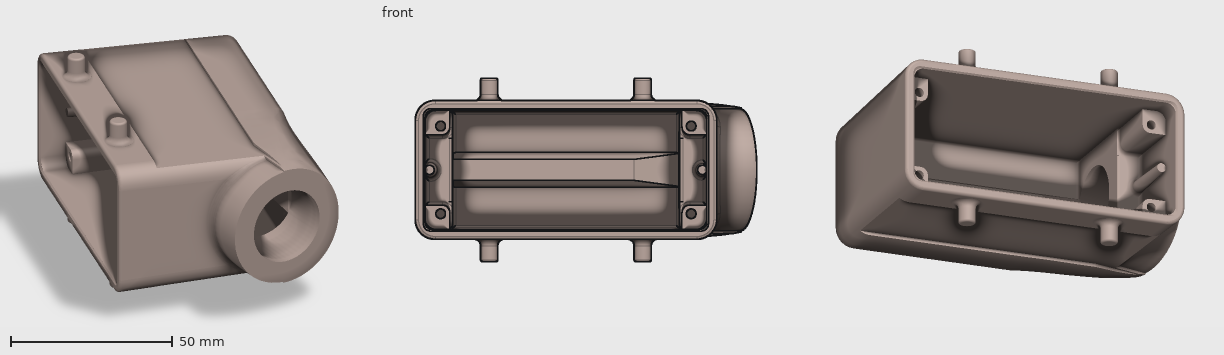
import cadquery as cq
import math


MOUTH_LENGTH = 93.6
MOUTH_WIDTH = 43.2
ROOF_HEIGHT = 63.0
DRAFT = 1.0
CORNER_RADIUS = 6.2
ROOF_EDGE_RADIUS = 3.5
RIM_RADIUS = 1.0

ENTRY_ANGLE = 15.9
ENTRY_RADIUS = 18.93
ENTRY_CENTRE_X = 54.06
ENTRY_CENTRE_Y = 51.92
ENTRY_LENGTH = 26.0
BORE_RADIUS = 12.0
HUMP_START_X = 12.9
HUMP_OVERLAP = 1.0
HUMP_SIDE_EXCESS = 0.3
CORNER_GROWTH = 1.15
ENTRY_FILLET = 2.0

PANEL_BOTTOM = 12.9
PANEL_TOP = 46.5
PANEL_DEPTH = 1.0
PANEL_SLOPE_X = 35.7

PIN_X = 23.8
PIN_Y = 6.2
PIN_RADIUS = 2.7
PIN_TIP_Z = 28.5
PIN_TIP_ROUND = 0.7
PIN_FOOT_RADIUS = 2.0

MOUTH_WALL_X = 3.05
MOUTH_WALL_Z = 3.1
CAVITY_DRAFT = 0.5
CAVITY_CORNER_RADIUS = 3.2
MOUTH_CHAMFER = 0.5
LEDGE_HEIGHT = 28.0
LEDGE_EDGE_RADIUS = 1.0
DEEP_HALF_LENGTH = 35.5
CAVITY_HEIGHT = 58.5
CAVITY_ROOF_RADIUS = 0.8

POST_FACE_Y = 8.5
POST_INNER_X = 36.0
POST_INNER_Z = 10.9
POST_CORNER_RADIUS = 2.4
POCKET_FILLET = 1.1
SCREW_X = 38.85
SCREW_Z = 13.6
SCREW_RADIUS = 1.5
SCREW_DEPTH = 12.0
KEY_X = 42.3
KEY_TIP_RADIUS = 1.45
KEY_BASE_RADIUS_LEFT = 2.5
KEY_BASE_RADIUS_RIGHT = 2.1

RIB_BASE_HALF = 5.4
RIB_TOP_HALF = 3.25
RIB_HEIGHT = 4.6
RIB_RAMP_X = 21.1

CUT_MARGIN = 10.0

sin_entry = math.sin(math.radians(ENTRY_ANGLE))
cos_entry = math.cos(math.radians(ENTRY_ANGLE))
tan_entry = math.tan(math.radians(ENTRY_ANGLE))
tan_draft = math.tan(math.radians(DRAFT))

ENTRY_TOP_X = ENTRY_CENTRE_X - ENTRY_RADIUS * sin_entry
ENTRY_TOP_Y = ENTRY_CENTRE_Y + ENTRY_RADIUS * cos_entry
BEND_X = ENTRY_TOP_X - (ENTRY_TOP_Y - ROOF_HEIGHT) / tan_entry
HUMP_ARC_RADIUS = (BEND_X - HUMP_START_X) / math.tan(math.radians(ENTRY_ANGLE / 2))


def plane_across_y(y):
    """Plane at height y whose normal points from the mouth to the roof."""
    return cq.Plane(origin=(0, y, 0), xDir=(1, 0, 0), normal=(0, 1, 0))


def both_sides(shape):
    """The shape together with its mirror image across Z = 0."""
    return shape.union(shape.mirror("XY"))


def hump_top_point(angle):
    """Point of the hump's top arc where it is inclined by the angle, in degrees."""
    a = math.radians(angle)
    return (
        HUMP_START_X + HUMP_ARC_RADIUS * math.sin(a),
        ROOF_HEIGHT + HUMP_ARC_RADIUS * (1 - math.cos(a)),
    )


def outer_shell():
    """Solid drafted block with rounded corners, roof edge and mouth rim."""
    shell = cq.Workplane(plane_across_y(0)).rect(MOUTH_LENGTH, MOUTH_WIDTH)
    shell = shell.extrude(ROOF_HEIGHT, taper=DRAFT)
    shell = shell.edges("not(|X or |Z)").fillet(CORNER_RADIUS)
    shell = shell.faces(">Y").edges().fillet(ROOF_EDGE_RADIUS)
    return shell.faces("<Y").edges().fillet(RIM_RADIUS)


def hump_room():
    """The part of the shell above the hump's lower surface, which the hump replaces."""
    depth = ENTRY_RADIUS - HUMP_OVERLAP
    radius = HUMP_ARC_RADIUS + depth

    def lower_point(angle):
        a = math.radians(angle)
        return (
            HUMP_START_X + radius * math.sin(a),
            ROOF_HEIGHT + HUMP_ARC_RADIUS - radius * math.cos(a),
        )

    end_x, end_y = lower_point(ENTRY_ANGLE)
    far_x = ENTRY_CENTRE_X + CUT_MARGIN
    far_y = end_y + (far_x - end_x) * tan_entry
    high_y = ROOF_HEIGHT + CUT_MARGIN
    return (
        cq.Workplane("XY")
        .moveTo(*lower_point(0))
        .threePointArc(lower_point(ENTRY_ANGLE / 2), (end_x, end_y))
        .lineTo(far_x, far_y)
        .lineTo(far_x, high_y)
        .lineTo(HUMP_START_X, high_y)
        .close()
        .extrude(MOUTH_WIDTH / 2 + CUT_MARGIN, both=True)
    )


def hump_section(top, angle, half_width, radius):
    """Cross-section hanging from a point of the hump's top line, with two rounded top corners."""
    a = math.radians(angle)
    plane = cq.Plane(
        origin=(top[0], top[1], 0),
        xDir=(0, 0, -1),
        normal=(math.cos(a), math.sin(a), 0),
    )
    flat = half_width - radius
    diagonal = radius * math.sqrt(0.5)
    foot = -ENTRY_RADIUS - HUMP_OVERLAP
    side_top = -radius
    foot_half = half_width + (side_top - foot) * tan_draft
    section = (
        cq.Workplane(plane)
        .moveTo(-foot_half, foot)
        .lineTo(-half_width, side_top)
        .threePointArc((-flat - diagonal, -radius + diagonal), (-flat, 0))
        .lineTo(flat, 0)
        .threePointArc((flat + diagonal, -radius + diagonal), (half_width, side_top))
        .lineTo(foot_half, foot)
        .close()
    )
    return section.val()


def hump():
    """Loft from the rounded roof section to the round entry; its top corners grow along the way."""
    arc_length = HUMP_ARC_RADIUS * math.radians(ENTRY_ANGLE)
    arc_end = hump_top_point(ENTRY_ANGLE)
    straight = math.dist(arc_end, (ENTRY_TOP_X, ENTRY_TOP_Y))
    stations = [
        (hump_top_point(0), 0, 0),
        (hump_top_point(ENTRY_ANGLE / 2), ENTRY_ANGLE / 2, arc_length / 2),
        (arc_end, ENTRY_ANGLE, arc_length),
        ((ENTRY_TOP_X, ENTRY_TOP_Y), ENTRY_ANGLE, arc_length + straight),
    ]
    sections = []
    for top, angle, travelled in stations:
        share = travelled / (arc_length + straight)
        radius = ROOF_EDGE_RADIUS + (ENTRY_RADIUS - ROOF_EDGE_RADIUS) * share**CORNER_GROWTH
        flush_half = MOUTH_WIDTH / 2 - (top[1] - radius) * tan_draft
        half_width = flush_half if travelled <= arc_length else ENTRY_RADIUS + HUMP_SIDE_EXCESS
        sections.append(hump_section(top, angle, half_width, radius))
    return cq.Workplane(cq.Solid.makeLoft(sections))


def entry_cylinder(radius, length):
    """Cylinder on the entry axis, running inwards from the end face."""
    plane = cq.Plane(
        origin=(ENTRY_CENTRE_X, ENTRY_CENTRE_Y, 0),
        xDir=(0, 0, 1),
        normal=(-cos_entry, -sin_entry, 0),
    )
    return cq.Workplane(plane).circle(radius).extrude(length)


def filleted_entry(body):
    """The body with the round entry added and its meeting line with the end wall filleted."""
    body = body.union(entry_cylinder(ENTRY_RADIUS, ENTRY_LENGTH))
    wall_x = MOUTH_LENGTH / 2
    lowest_y = ENTRY_CENTRE_Y - ENTRY_RADIUS * cos_entry - ENTRY_LENGTH * sin_entry
    highest_y = ENTRY_CENTRE_Y - ENTRY_RADIUS * cos_entry / 2
    meeting_line = cq.selectors.BoxSelector(
        (wall_x - CORNER_RADIUS / 2, lowest_y, -ENTRY_RADIUS),
        (wall_x + CORNER_RADIUS / 2, highest_y, ENTRY_RADIUS),
    )
    return body.edges(meeting_line).fillet(ENTRY_FILLET)


def side_panels():
    """Cutters for the two recessed panels, parallel to the drafted sides."""
    plane = cq.Plane(
        origin=(0, 0, MOUTH_WIDTH / 2 - PANEL_DEPTH),
        xDir=(1, 0, 0),
        normal=(0, tan_draft, 1),
    )
    near_x = -MOUTH_LENGTH / 2 - CUT_MARGIN
    far_x = ENTRY_CENTRE_X + CUT_MARGIN
    outline = [
        (near_x, PANEL_BOTTOM),
        (far_x, PANEL_BOTTOM),
        (far_x, PANEL_TOP + (far_x - PANEL_SLOPE_X) * tan_entry),
        (PANEL_SLOPE_X, PANEL_TOP),
        (near_x, PANEL_TOP),
    ]
    return both_sides(cq.Workplane(plane).polyline(outline).close().extrude(CUT_MARGIN))


def pin(x):
    """Locking pin with a rounded tip and a concave foot that runs out on the side wall."""
    surface = MOUTH_WIDTH / 2 - PIN_Y * tan_draft
    foot = PIN_FOOT_RADIUS
    centre_r = PIN_RADIUS + foot
    centre_z = surface + foot
    tip_r = PIN_RADIUS - PIN_TIP_ROUND
    sink = MOUTH_WALL_Z / 2
    diagonal = math.sqrt(0.5)
    profile = (
        cq.Workplane("XZ", origin=(x, PIN_Y, 0))
        .moveTo(0, surface - sink)
        .lineTo(centre_r, surface - sink)
        .lineTo(centre_r, surface)
        .threePointArc((centre_r - foot * diagonal, centre_z - foot * diagonal), (PIN_RADIUS, centre_z))
        .lineTo(PIN_RADIUS, PIN_TIP_Z - PIN_TIP_ROUND)
        .threePointArc(
            (tip_r + PIN_TIP_ROUND * diagonal, PIN_TIP_Z - PIN_TIP_ROUND * (1 - diagonal)),
            (tip_r, PIN_TIP_Z),
        )
        .lineTo(0, PIN_TIP_Z)
        .close()
    )
    return both_sides(profile.revolve(360, (0, 0, 0), (0, 1, 0)))


def key_rib(x, base_radius):
    """Tapered round rib against an end wall."""
    return (
        cq.Workplane(plane_across_y(POST_FACE_Y))
        .center(x, 0)
        .circle(KEY_TIP_RADIUS)
        .workplane(offset=LEDGE_HEIGHT - POST_FACE_Y)
        .circle(base_radius)
        .loft()
    )


def screw_post(side_x, side_z):
    """Post filling one corner of the mouth space, with its inner edge rounded."""
    size_x = MOUTH_LENGTH / 2 - POST_INNER_X
    size_z = MOUTH_WIDTH / 2 - POST_INNER_Z
    post = (
        cq.Workplane(plane_across_y(POST_FACE_Y))
        .rect(size_x, size_z)
        .extrude(LEDGE_HEIGHT - POST_FACE_Y)
    )
    inner_edge = ("<" if side_x > 0 else ">") + "X"
    inner_side = ("<" if side_z > 0 else ">") + "Z"
    post = post.edges("not(|X or |Z)").edges(inner_edge).edges(inner_side).fillet(POST_CORNER_RADIUS)
    return post.translate(
        (side_x * (POST_INNER_X + size_x / 2), 0, side_z * (POST_INNER_Z + size_z / 2))
    )


def mouth_space():
    """Space from the mouth to the end ledges, around the posts and key ribs."""
    length = MOUTH_LENGTH - 2 * MOUTH_WALL_X
    width = MOUTH_WIDTH - 2 * MOUTH_WALL_Z
    space = cq.Workplane(plane_across_y(0)).rect(length, width).extrude(LEDGE_HEIGHT, taper=CAVITY_DRAFT)
    space = space.edges("not(|X or |Z)").fillet(CAVITY_CORNER_RADIUS)
    for side_x in (-1, 1):
        for side_z in (-1, 1):
            space = space.cut(screw_post(side_x, side_z))
    space = space.cut(key_rib(-KEY_X, KEY_BASE_RADIUS_LEFT))
    space = space.cut(key_rib(KEY_X, KEY_BASE_RADIUS_RIGHT))
    return space.faces(">Y").edges().fillet(POCKET_FILLET)


def mouth_bevel():
    """Cutter for the chamfer around the inner edge of the mouth."""
    length = MOUTH_LENGTH - 2 * MOUTH_WALL_X + 2 * MOUTH_CHAMFER
    width = MOUTH_WIDTH - 2 * MOUTH_WALL_Z + 2 * MOUTH_CHAMFER
    bevel = cq.Workplane(plane_across_y(0)).rect(length, width).extrude(MOUTH_CHAMFER, taper=45)
    return bevel.edges("not(|X or |Z)").fillet(CAVITY_CORNER_RADIUS + MOUTH_CHAMFER)


def deep_space():
    """Space between the end ledges, up to the cavity roof and around the roof rib."""
    half_width = MOUTH_WIDTH / 2 - MOUTH_WALL_Z
    space = (
        cq.Workplane(plane_across_y(0))
        .rect(2 * DEEP_HALF_LENGTH, 2 * half_width)
        .extrude(CAVITY_HEIGHT, taper=CAVITY_DRAFT)
    )
    space = space.faces(">Y").edges().fillet(CAVITY_ROOF_RADIUS)
    return space.cut(roof_rib())


def roof_rib():
    """Trapezoid rib on the cavity roof, ramped away towards the cable entry."""
    crest = CAVITY_HEIGHT - RIB_HEIGHT
    half_length = MOUTH_LENGTH / 2
    rib = (
        cq.Workplane("YZ", origin=(-half_length, 0, 0))
        .polyline(
            [
                (CAVITY_HEIGHT, -RIB_BASE_HALF),
                (crest, -RIB_TOP_HALF),
                (crest, RIB_TOP_HALF),
                (CAVITY_HEIGHT, RIB_BASE_HALF),
            ]
        )
        .close()
        .extrude(2 * half_length)
    )
    ramp = (
        cq.Workplane("XY")
        .polyline(
            [
                (RIB_RAMP_X, crest),
                (half_length, crest + (half_length - RIB_RAMP_X) * tan_entry),
                (half_length, crest),
            ]
        )
        .close()
        .extrude(RIB_BASE_HALF, both=True)
    )
    return rib.cut(ramp)


def ledge_rounding():
    """Cutters that round the inner edge of the two end ledges between the posts."""
    r = LEDGE_EDGE_RADIUS
    inner = DEEP_HALF_LENGTH - LEDGE_HEIGHT * math.tan(math.radians(CAVITY_DRAFT))
    reach = POST_INNER_Z - POCKET_FILLET
    rounding = (
        cq.Workplane("XY")
        .moveTo(inner, LEDGE_HEIGHT)
        .lineTo(inner + r, LEDGE_HEIGHT)
        .threePointArc(
            (inner + r - r * math.sqrt(0.5), LEDGE_HEIGHT + r - r * math.sqrt(0.5)),
            (inner, LEDGE_HEIGHT + r),
        )
        .close()
        .extrude(reach, both=True)
    )
    return rounding.union(rounding.mirror("YZ"))


def screw_holes():
    """Cutters for the blind screw holes in the four posts."""
    return (
        cq.Workplane(plane_across_y(POST_FACE_Y))
        .rect(2 * SCREW_X, 2 * SCREW_Z, forConstruction=True)
        .vertices()
        .circle(SCREW_RADIUS)
        .extrude(SCREW_DEPTH)
    )


def entry_bore():
    """Bore from the end face of the entry to the end wall of the deep space."""
    wall_x = DEEP_HALF_LENGTH - CAVITY_HEIGHT * math.tan(math.radians(CAVITY_DRAFT))
    length = (ENTRY_CENTRE_X - wall_x) / cos_entry + BORE_RADIUS
    inside = (
        cq.Workplane("XY")
        .box(MOUTH_LENGTH, 2 * ROOF_HEIGHT, MOUTH_WIDTH)
        .translate((wall_x - MOUTH_LENGTH / 2, ROOF_HEIGHT / 2, 0))
    )
    return entry_cylinder(BORE_RADIUS, length).cut(inside)


hood = filleted_entry(outer_shell().cut(hump_room()).union(hump()))
hood = hood.cut(side_panels())
for pin_x in (-PIN_X, PIN_X):
    hood = hood.union(pin(pin_x))
for space in (mouth_space(), mouth_bevel(), deep_space(), ledge_rounding(), screw_holes(), entry_bore()):
    hood = hood.cut(space)

result = hood